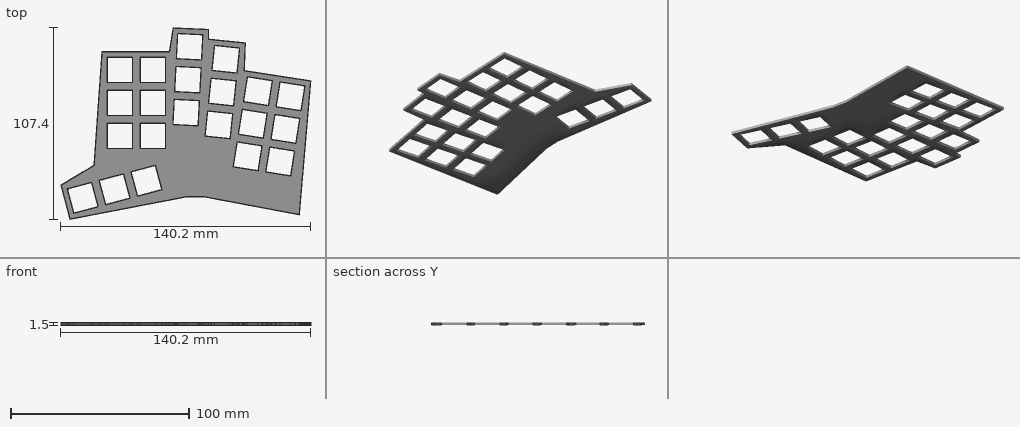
import cadquery as cq

thickness = 1.5
opening = 14.0
pitch = 18.5

plate_outline = [
    (0, 19.2),
    (5.0, 0),
    (70.5, 12.6),
    (80.2, 12.6),
    (133.7, 2.5),
    (140.2, 77.7),
    (102.9, 83.4),
    (103.5, 99.0),
    (82.8, 101.0),
    (82.8, 106.5),
    (63.0, 107.4),
    (60.8, 94.0),
    (23.0, 94.0),
    (18.5, 30.3),
]

key_groups = [
    ((33.1, 46.8), 2, 3, 0),
    ((70.2, 59.9), 1, 3, -3),
    ((88.6, 53.0), 1, 3, -6),
    ((104.7, 35.3), 2, 3, -9),
    ((12.2, 12.0), 3, 1, 15),
]


def key_cutter(first_key, columns, rows, angle):
    """Square cutters on a grid that is rotated about its first key."""
    grid_centers = [
        (column * pitch, row * pitch)
        for column in range(columns)
        for row in range(rows)
    ]
    return (
        cq.Workplane("XY")
        .pushPoints(grid_centers)
        .rect(opening, opening)
        .extrude(thickness)
        .rotate((0, 0, 0), (0, 0, 1), angle)
        .translate((*first_key, 0))
    )


result = cq.Workplane("XY").polyline(plate_outline).close().extrude(thickness)
for first_key, columns, rows, angle in key_groups:
    result = result.cut(key_cutter(first_key, columns, rows, angle))